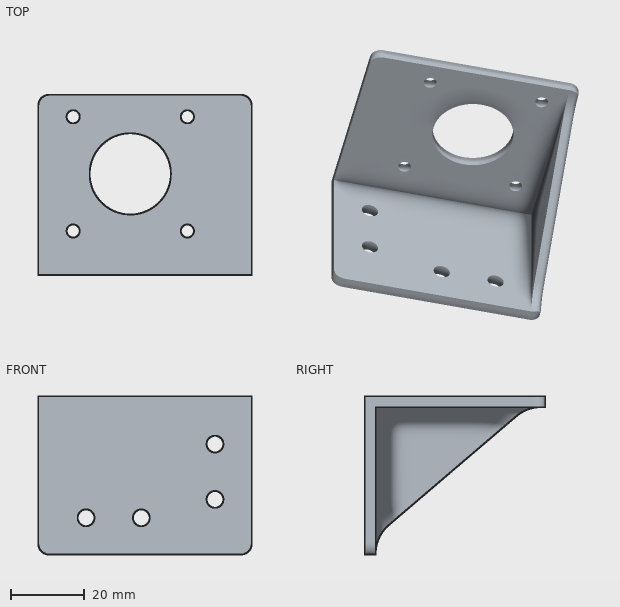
import cadquery as cq

width = 58.0
depth = 49.0
height = 43.0
thickness = 3.0
corner_radius = 3.0

gusset_setback = 5.0
gusset_bend_radius = 10.0
gusset_edge_radius = 2.0

motor_x = thickness + 22.0
motor_y = 27.5
motor_bore = 22.0
motor_screw_pitch = 31.0
motor_screw_diameter = 3.5

wall_hole_diameter = 4.5
wall_hole_margin = 10.0
wall_hole_pitch = 15.0


def top_plate():
    size = (width - thickness, depth, thickness)
    return cq.Workplane("XY").box(*size, centered=False).translate((thickness, 0, -thickness))


def mounting_wall():
    size = (width - thickness, thickness, height)
    return cq.Workplane("XY").box(*size, centered=False).translate((thickness, 0, -height))


def gusset():
    """Side wall with a sloping free edge that blends into both plate ends."""
    slope_top = (depth - gusset_setback, -thickness)
    slope_bottom = (thickness, -height + gusset_setback)
    wall = (
        cq.Workplane("YZ")
        .moveTo(0, 0)
        .lineTo(depth, 0)
        .lineTo(depth, -thickness)
        .lineTo(*slope_top)
        .lineTo(*slope_bottom)
        .lineTo(thickness, -height)
        .lineTo(0, -height)
        .close()
        .extrude(thickness)
    )
    for y, z in (slope_top, slope_bottom):
        bend_edge = cq.selectors.NearestToPointSelector((thickness / 2, y, z))
        wall = wall.edges("|X").edges(bend_edge).fillet(gusset_bend_radius)
    slope_middle = (
        0,
        (slope_top[0] + slope_bottom[0]) / 2,
        (slope_top[1] + slope_bottom[1]) / 2,
    )
    outer_edge = cq.selectors.NearestToPointSelector(slope_middle)
    return wall.faces("<X").edges(outer_edge).fillet(gusset_edge_radius)


def corner_envelope():
    """Block whose free corners round the ends of the plates and the gusset."""
    block = cq.Workplane("XY").box(width, depth, height, centered=False).translate((0, 0, -height))
    plate_outline = block.edges("|Z and >Y").fillet(corner_radius)
    wall_outline = block.edges("|Y and <Z").fillet(corner_radius)
    return plate_outline.intersect(wall_outline)


def motor_holes():
    centre = cq.Workplane("XY").center(motor_x, motor_y)
    bore = centre.circle(motor_bore / 2).extrude(-thickness)
    screws = (
        centre.rect(motor_screw_pitch, motor_screw_pitch, forConstruction=True)
        .vertices()
        .circle(motor_screw_diameter / 2)
        .extrude(-thickness)
    )
    return bore.union(screws)


def wall_holes():
    """Two holes in a row near the bottom and two in a column near the +X side."""
    row_x = thickness + wall_hole_margin
    row_z = -height + wall_hole_margin
    column_x = width - wall_hole_margin
    column_z = -thickness - wall_hole_margin
    centres = [
        (row_x, row_z),
        (row_x + wall_hole_pitch, row_z),
        (column_x, column_z),
        (column_x, column_z - wall_hole_pitch),
    ]
    return cq.Workplane("XZ").pushPoints(centres).circle(wall_hole_diameter / 2).extrude(-thickness)


bracket = top_plate().union(mounting_wall()).union(gusset())
bracket = bracket.intersect(corner_envelope())
result = bracket.cut(motor_holes()).cut(wall_holes()).clean()